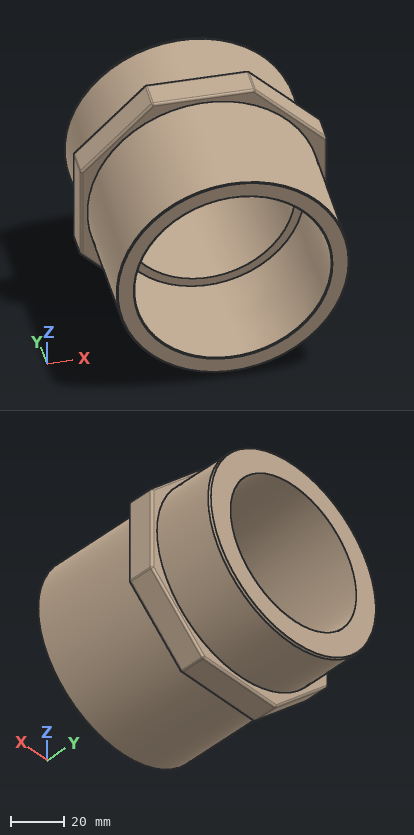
import cadquery as cq

total_length = 91.0
body_diameter = 90.0

across_flats = 95.5
band_width = 12.2
plain_end_length = 28.1
band_start = total_length - plain_end_length - band_width
band_edge_radius = 1.0

socket_mouth_diameter = 76.2
socket_floor_diameter = 75.2
socket_depth = 44.3
bore_diameter = 68.0

mouth_outer_chamfer = 0.4
mouth_inner_chamfer = 0.4
plain_end_chamfer_length = 1.1
plain_end_chamfer_depth = 0.4


def revolve_about_y(points):
    """Revolve a closed (radius, y) outline about the pipe axis."""
    return cq.Workplane("XY").polyline(points).close().revolve(360, (0, 0, 0), (0, 1, 0))


def make_body():
    """Round outer body, chamfered at both ends."""
    radius = body_diameter / 2
    return revolve_about_y([
        (0, 0),
        (radius - mouth_outer_chamfer, 0),
        (radius, mouth_outer_chamfer),
        (radius, total_length - plain_end_chamfer_length),
        (radius - plain_end_chamfer_depth, total_length),
        (0, total_length),
    ])


def make_band():
    """Octagonal band with flats facing X and Z and every edge rounded."""
    square = cq.Workplane("XY").box(across_flats, band_width, across_flats)
    turned_square = square.rotate((0, 0, 0), (0, 1, 0), 45)
    octagon = square.intersect(turned_square)
    return octagon.edges().fillet(band_edge_radius).translate((0, band_start + band_width / 2, 0))


def make_cavity():
    """Socket with a chamfered mouth, a shoulder and the through bore."""
    mouth_radius = socket_mouth_diameter / 2
    bore_radius = bore_diameter / 2
    return revolve_about_y([
        (0, 0),
        (mouth_radius + mouth_inner_chamfer, 0),
        (mouth_radius, mouth_inner_chamfer),
        (socket_floor_diameter / 2, socket_depth),
        (bore_radius, socket_depth),
        (bore_radius, total_length),
        (0, total_length),
    ])


result = make_body().union(make_band()).cut(make_cavity())